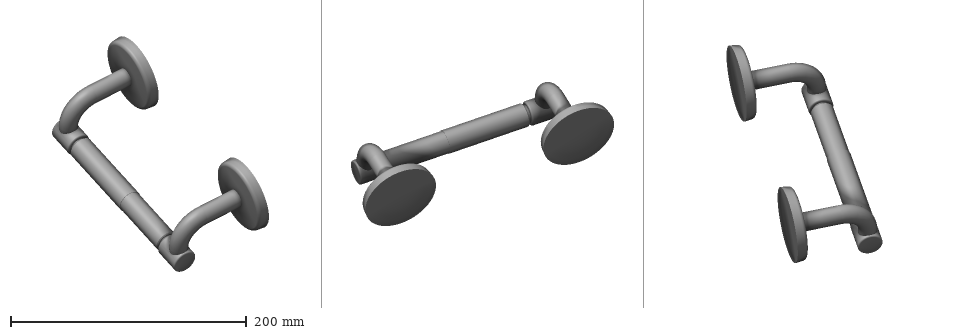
import cadquery as cq
import math

overall_length = 232.2
flange_radius = 33.0
post_x = overall_length / 2 - flange_radius

flange_side_depth = 6.5
flange_shoulder_radius = 32.3
flange_rim_depth = 9.8
flange_face_radius = 28.8
flange_depth = 11.4

arm_radius = 8.1
arm_straight = 46.0
bend_radius = 24.2
bar_y = -(arm_straight + bend_radius)
bar_z = -35.5

knuckle_radius = 11.0
knuckle_length = 25.5
knuckle_inset = 3.0
knuckle_edge = 1.5
knuckle_x = post_x - knuckle_inset
knuckle_inner_x = knuckle_x - knuckle_length / 2

knuckle_gap = 2.0
roller_half_length = knuckle_inner_x - knuckle_gap
roller_step_x = 9.5
roller_large_radius = 10.5
roller_small_radius = 10.0
roller_edge = 1.0
neck_radius = 8.0


def make_flange(x):
    """Round wall plate with a rounded rim and a shallow conical face."""
    rim_width = flange_shoulder_radius - flange_face_radius
    rim_height = flange_rim_depth - flange_side_depth
    rim_mid = (
        flange_face_radius + rim_width * math.cos(math.pi / 4),
        -flange_side_depth - rim_height * math.sin(math.pi / 4),
    )
    plate = (
        cq.Workplane("XY")
        .lineTo(flange_radius, 0)
        .lineTo(flange_shoulder_radius, -flange_side_depth)
        .threePointArc(rim_mid, (flange_face_radius, -flange_rim_depth))
        .lineTo(0, -flange_depth)
        .close()
        .revolve(360, (0, 0, 0), (0, 1, 0))
    )
    return plate.translate((x, 0, 0))


def make_arm(x, knuckle_center_x, flange):
    """Bent round arm with its cross knuckle, seated against the flange face."""
    path = (
        cq.Workplane("YZ", origin=(x, 0, 0))
        .moveTo(-flange_rim_depth, 0)
        .lineTo(-arm_straight, 0)
        .radiusArc((bar_y, -bend_radius), -bend_radius)
        .lineTo(bar_y, bar_z)
    )
    rod = cq.Workplane("XZ", origin=(x, -flange_rim_depth, 0)).circle(arm_radius).sweep(path)
    knuckle = (
        cq.Workplane("YZ", origin=(knuckle_center_x - knuckle_length / 2, bar_y, bar_z))
        .circle(knuckle_radius)
        .extrude(knuckle_length)
        .faces("<X or >X")
        .edges()
        .fillet(knuckle_edge)
    )
    return rod.cut(flange).union(knuckle)


def roller_cylinder(radius, start_x, end_x):
    """Cylinder on the roller axis between two X positions."""
    return (
        cq.Workplane("YZ", origin=(start_x, bar_y, bar_z))
        .circle(radius)
        .extrude(end_x - start_x)
    )


def make_roller():
    """Two-diameter roller with a reduced neck reaching each knuckle."""
    large = roller_cylinder(roller_large_radius, -roller_half_length, roller_step_x)
    large = large.faces("<X").chamfer(roller_edge)
    small = roller_cylinder(roller_small_radius, roller_step_x, roller_half_length)
    small = small.faces(">X").chamfer(roller_edge)
    necks = roller_cylinder(neck_radius, -knuckle_inner_x, knuckle_inner_x)
    return large.union(small).union(necks)


flanges = []
arms = []
for side in (-1, 1):
    flange = make_flange(side * post_x)
    flanges.append(flange.val())
    arms.append(make_arm(side * post_x, side * knuckle_x, flange).val())

roller = make_roller()

result = cq.Compound.makeCompound([*flanges, *arms, roller.val()])